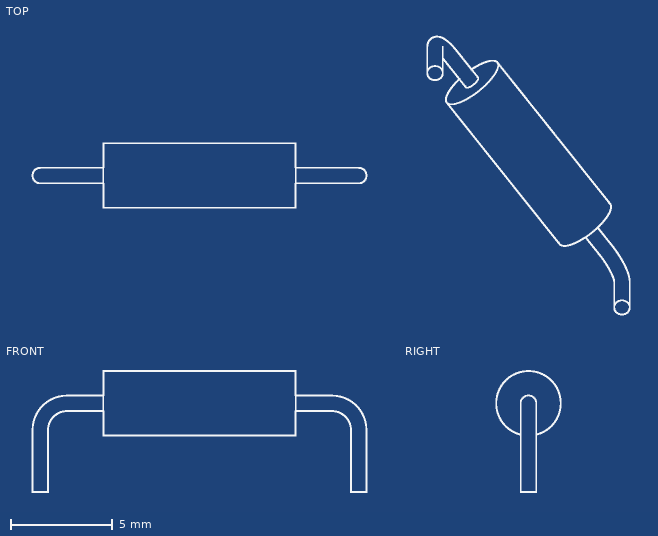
import cadquery as cq

overall_length = 16.51
body_diameter = 3.2
body_length = 9.51
lead_diameter = 0.78
bend_radius = 1.32
lead_drop = 4.39

body_end = body_length / 2
leg_x = (overall_length - lead_diameter) / 2
bend_start = leg_x - bend_radius


def make_body():
    """Plain cylinder along X."""
    return (
        cq.Workplane("YZ", origin=(-body_end, 0, 0))
        .circle(body_diameter / 2)
        .extrude(body_length)
    )


def make_lead(side):
    """Round wire from one body end face, bent down; side is -1 or +1 along X."""
    bend_center = cq.Vector(side * bend_start, 0, -bend_radius)
    diagonal = cq.Vector(side, 0, 1).normalized()
    bend_middle = bend_center + diagonal * bend_radius
    path = (
        cq.Workplane("XZ")
        .moveTo(side * body_end, 0)
        .lineTo(side * bend_start, 0)
        .threePointArc((bend_middle.x, bend_middle.z), (side * leg_x, -bend_radius))
        .lineTo(side * leg_x, -lead_drop)
    )
    return (
        cq.Workplane("YZ", origin=(side * body_end, 0, 0))
        .circle(lead_diameter / 2)
        .sweep(path)
    )


body = make_body()
leads = [make_lead(side) for side in (-1, 1)]

result = cq.Compound.makeCompound([body.val(), *[lead.val() for lead in leads]])